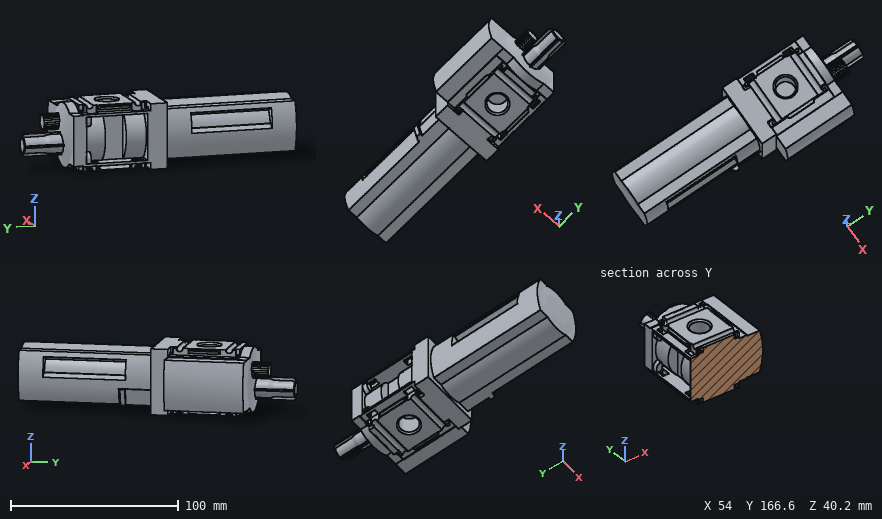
import cadquery as cq
import math

BODY_HALF_X = 21.0
BODY_HALF_Z = 20.1
SIDE_X = 33.0
CAP_Y = 27.2
FRAME_HALF_Y = 21.1
FLANGE_Y = -31.5
LEDGE_Z = 15.9
CAP_HALF_Z = 15.4
CAP_RADIUS = 19.8

PLATE_HALF_X = 15.3
BAR_HALF_X = 11.8
CORNER_FLOOR_Z = 16.9
GROOVE_OUTER_Y = 17.2
GROOVE_WIDTH = 4.1
PEG_INNER_X = 13.7
PEG_OUTER_Y = 19.1
PORT_RADIUS = 6.3
PORT_MOUTH_RADIUS = 7.4
PORT_DEPTH = 14.0
LIP_REACH = 2.1
LIP_TOP_Z = 19.7
LIP_BOTTOM_Z = 17.2
LIP_TIP_Z = 19.1
LIP_HALF_Y = 9.9
LIP_TIP_HALF_Y = 8.8

CAVITY_HALF_Y = 19.1
CAVITY_HALF_Z = 14.3
CAVITY_CORE_RADIUS = 18.6
CAVITY_FLAT_X = 11.6
CAVITY_FLAT_HALF_Y = 6.5
SLOT_INNER_X = 14.7
SLOT_OUTER_X = 18.9
SLOT_INNER_Y = 11.0
LUG_LENGTH = 3.2
LUG_RADIUS = 4.1
LUG_CENTRE_Z = 11.8
LUG_OUTER_X = 20.3

GUARD_HALF_X = 18.6
GUARD_CORNER_X = 15.5
GUARD_HALF_Z = 15.3
BOWL_RADIUS = 17.6
BOWL_END_Y = -113.1
TIP_Y = -113.6
TIP_BASE_RADIUS = 15.5
TIP_FLAT_RADIUS = 10.0
WINDOW_Y = (-97.8, -47.5)
WINDOW_TOP_Z = 12.0
WINDOW_TAPER = 2.3
WINDOW_FLOOR_RADIUS = 14.5
WINDOW_SILL_X = 15.5
LATCH_Y = (-51.5, -47.4)
LATCH_ROOT_X = 15.0
LATCH_Z = (-GUARD_HALF_Z, -5.3)
LATCH_X = (18.8, 21.3)
LATCH_BEVEL_X = 1.9
LATCH_BEVEL_Y = 1.2
STRIP_X = (17.0, 19.4)

SIDE_CORNER_X = 30.6

DOME_RADIUS = 19.1
DOME_HEIGHT = 2.0
KNOB_Z = -5.0
KNOB_END_Y = 53.0
KNOB_RIB_RADIUS = 6.9
KNOB_CORE_RADIUS = 5.0
KNOB_BASE_RADIUS = 5.8
KNOB_CONE_Y = (37.1, 39.8)
RIB_WIDTH = 1.0
RIB_CHAMFER = 1.3
KNOB_CORE_CHAMFER = 0.5
ADJUSTER_X = 7.1
ADJUSTER_Z = 7.0
ADJUSTER_RADIUS = 4.9
ADJUSTER_END_Y = 38.3
ADJUSTER_TEETH = 12
TOOTH_GROOVE_RADIUS = 0.6


def block(x_range, y_range, z_range):
    """Axis-aligned box given by its low and high limits on each axis."""
    limits = (x_range, y_range, z_range)
    size = [high - low for low, high in limits]
    corner = tuple(low for low, high in limits)
    return cq.Workplane("XY").box(*size, centered=False).translate(corner)


def section(y):
    """Sketch plane across the long axis at y, with local x, y = X, Z and normal -Y."""
    return cq.Workplane(cq.Plane(origin=(0, y, 0), xDir=(1, 0, 0), normal=(0, -1, 0)))


def along_y(profile, y_start, y_end):
    """Extrude an X-Z profile function between two Y positions."""
    return profile(section(y_end)).extrude(y_end - y_start)


def mirrored(shape, plane):
    """The shape together with its mirror image."""
    return shape.union(shape.mirror(plane))


def rod(radius, y_start, y_end, x=0.0, z=0.0):
    return along_y(lambda plane: plane.center(x, z).circle(radius), y_start, y_end)


def turned(points):
    """Solid of revolution about the Y axis from (radius, y) points."""
    return cq.Workplane("XY").polyline(points).close().revolve(360, (0, 0, 0), (0, 1, 0))


def guard_profile(plane):
    """Flat top and bottom with bulging left and right sides."""
    return (
        plane.moveTo(-GUARD_CORNER_X, GUARD_HALF_Z)
        .lineTo(GUARD_CORNER_X, GUARD_HALF_Z)
        .threePointArc((GUARD_HALF_X, 0), (GUARD_CORNER_X, -GUARD_HALF_Z))
        .lineTo(-GUARD_CORNER_X, -GUARD_HALF_Z)
        .threePointArc((-GUARD_HALF_X, 0), (-GUARD_CORNER_X, GUARD_HALF_Z))
        .close()
    )


def make_body():
    sides = (-BODY_HALF_X, BODY_HALF_X)
    heights = (-BODY_HALF_Z, BODY_HALF_Z)
    body = block(sides, (FLANGE_Y, FRAME_HALF_Y), heights)
    body = body.union(block(sides, (FRAME_HALF_Y, CAP_Y), (-CAP_HALF_Z, CAP_HALF_Z)))
    return body.union(rod(CAP_RADIUS, FRAME_HALF_Y, CAP_Y))


def make_plate_cuts():
    """Material removed around and inside the upper port plate."""
    above_ledge = (LEDGE_Z, BODY_HALF_Z)
    frame_y = (-FRAME_HALF_Y, FRAME_HALF_Y)
    ledge = block((PLATE_HALF_X, BODY_HALF_X), frame_y, above_ledge)
    cuts = mirrored(ledge, "YZ")

    groove_radius = GROOVE_WIDTH / 2
    groove = (
        cq.Workplane("YZ")
        .center(GROOVE_OUTER_Y - groove_radius, BODY_HALF_Z)
        .circle(groove_radius)
        .extrude(PLATE_HALF_X, both=True)
    )
    cuts = cuts.union(mirrored(groove, "XZ"))

    above_corner = (CORNER_FLOOR_Z, BODY_HALF_Z)
    corner = block((BAR_HALF_X, PLATE_HALF_X), (GROOVE_OUTER_Y, FRAME_HALF_Y), above_corner)
    peg = block((PEG_INNER_X, PLATE_HALF_X), (GROOVE_OUTER_Y, PEG_OUTER_Y), above_corner)
    cuts = cuts.union(mirrored(mirrored(corner.cut(peg), "YZ"), "XZ"))

    slot = block(
        (-SLOT_OUTER_X, -SLOT_INNER_X),
        (SLOT_INNER_Y, GROOVE_OUTER_Y),
        (CAVITY_HALF_Z, BODY_HALF_Z),
    )
    return cuts.union(mirrored(slot, "XZ"))


def make_lips():
    """Undercut lips with mitred ends on both sides of the upper port plate."""
    tip_x = PLATE_HALF_X + LIP_REACH
    outline = [
        (PLATE_HALF_X, -LIP_HALF_Y),
        (tip_x, -LIP_TIP_HALF_Y),
        (tip_x, LIP_TIP_HALF_Y),
        (PLATE_HALF_X, LIP_HALF_Y),
    ]
    height = LIP_TOP_Z - LIP_BOTTOM_Z
    plan = cq.Workplane("XY", origin=(0, 0, LIP_BOTTOM_Z)).polyline(outline).close().extrude(height)
    wedge_points = [
        (PLATE_HALF_X, LIP_TOP_Z),
        (tip_x, LIP_TOP_Z),
        (tip_x, LIP_TIP_Z),
        (PLATE_HALF_X, LIP_BOTTOM_Z),
    ]
    wedge = along_y(lambda plane: plane.polyline(wedge_points).close(), -LIP_HALF_Y, LIP_HALF_Y)
    return mirrored(plan.intersect(wedge), "YZ")


def make_port():
    """Blind port entering from the top, with a chamfered mouth."""
    mouth = PORT_MOUTH_RADIUS - PORT_RADIUS
    return (
        cq.Workplane("XZ")
        .moveTo(0, BODY_HALF_Z)
        .lineTo(PORT_MOUTH_RADIUS, BODY_HALF_Z)
        .lineTo(PORT_RADIUS, BODY_HALF_Z - mouth)
        .lineTo(PORT_RADIUS, BODY_HALF_Z - PORT_DEPTH)
        .lineTo(0, BODY_HALF_Z - PORT_DEPTH)
        .close()
        .revolve(360, (0, 0, 0), (0, 1, 0))
    )


def make_lug():
    """Small corner lug in the cavity, with one rounded edge."""
    inner_x = LUG_RADIUS - LUG_OUTER_X
    tip_z = LUG_CENTRE_Z - LUG_RADIUS
    diagonal = LUG_RADIUS * math.sqrt(0.5)

    def profile(plane):
        return (
            plane.moveTo(inner_x, CAVITY_HALF_Z)
            .lineTo(-LUG_OUTER_X, CAVITY_HALF_Z)
            .lineTo(-LUG_OUTER_X, LUG_CENTRE_Z)
            .threePointArc((inner_x - diagonal, LUG_CENTRE_Z - diagonal), (inner_x, tip_z))
            .close()
        )

    return along_y(profile, CAVITY_HALF_Y - LUG_LENGTH, CAVITY_HALF_Y)


def make_cavity():
    """Opening in the -X side: it bares the round core, interrupted by a flat."""
    heights = (-CAVITY_HALF_Z, CAVITY_HALF_Z)
    opening = block((-BODY_HALF_X, -CAVITY_FLAT_X), (-CAVITY_HALF_Y, CAVITY_HALF_Y), heights)
    core = rod(CAVITY_CORE_RADIUS, -CAVITY_HALF_Y, CAVITY_HALF_Y)
    flat_y = (-CAVITY_FLAT_HALF_Y, CAVITY_FLAT_HALF_Y)
    flat = block((-BODY_HALF_X, -CAVITY_FLAT_X), flat_y, heights)
    return opening.cut(core).union(flat).cut(mirrored(make_lug(), "XY"))


def make_window():
    """Sight window in the +X side of the guard, with tapered upper and lower walls."""
    inner_top_z = WINDOW_TOP_Z - WINDOW_TAPER
    inner_x = math.sqrt(WINDOW_FLOOR_RADIUS**2 - inner_top_z**2)
    points = [
        (inner_x, WINDOW_TAPER),
        (WINDOW_SILL_X, WINDOW_TAPER),
        (GUARD_HALF_X, 0),
        (BODY_HALF_X, 0),
        (BODY_HALF_X, WINDOW_TOP_Z),
        (GUARD_CORNER_X, WINDOW_TOP_Z),
        (inner_x, inner_top_z),
    ]
    opening = along_y(lambda plane: plane.polyline(points).close(), *WINDOW_Y)
    return opening.cut(rod(WINDOW_FLOOR_RADIUS, *WINDOW_Y))


def make_latch_prism(outer_x, y_range):
    """Prism on the lower +X side whose outer face leans from lower to upper X."""
    points = [
        (LATCH_ROOT_X, LATCH_Z[0]),
        (outer_x[0], LATCH_Z[0]),
        (outer_x[1], LATCH_Z[1]),
        (LATCH_ROOT_X, LATCH_Z[1]),
    ]
    return along_y(lambda plane: plane.polyline(points).close(), *y_range)


def make_latch():
    """Release button bevelled towards the bowl end, with its strip up to the body."""
    button = make_latch_prism(LATCH_X, LATCH_Y)
    button = button.faces("<Y").edges(">X").chamfer(LATCH_BEVEL_Y, LATCH_BEVEL_X)
    return button.union(make_latch_prism(STRIP_X, (LATCH_Y[1], FLANGE_Y)))


def make_bowl():
    bowl = along_y(guard_profile, BOWL_END_Y, FLANGE_Y)
    bowl = bowl.union(rod(BOWL_RADIUS, BOWL_END_Y, FLANGE_Y))
    tip = turned([(0, BOWL_END_Y), (TIP_BASE_RADIUS, BOWL_END_Y), (TIP_FLAT_RADIUS, TIP_Y), (0, TIP_Y)])
    return bowl.union(tip).cut(mirrored(make_window(), "YZ")).union(make_latch())


def make_side_module():
    def profile(plane):
        return (
            plane.moveTo(BODY_HALF_X, -GUARD_HALF_Z)
            .lineTo(SIDE_CORNER_X, -GUARD_HALF_Z)
            .threePointArc((SIDE_X, 0), (SIDE_CORNER_X, GUARD_HALF_Z))
            .lineTo(BODY_HALF_X, GUARD_HALF_Z)
            .close()
        )

    return along_y(profile, -FRAME_HALF_Y, CAP_Y)


def make_dome():
    sphere_radius = (DOME_RADIUS**2 + DOME_HEIGHT**2) / (2 * DOME_HEIGHT)
    mid_radius = DOME_RADIUS / 2
    centre_y = CAP_Y + DOME_HEIGHT - sphere_radius
    mid_y = centre_y + math.sqrt(sphere_radius**2 - mid_radius**2)
    return (
        cq.Workplane("XY")
        .moveTo(0, CAP_Y)
        .lineTo(DOME_RADIUS, CAP_Y)
        .threePointArc((mid_radius, mid_y), (0, CAP_Y + DOME_HEIGHT))
        .close()
        .revolve(360, (0, 0, 0), (0, 1, 0))
    )


def make_knob():
    """Stepped round stem with four lengthwise ribs."""
    cone_start, cone_end = KNOB_CONE_Y
    core = turned([
        (0, CAP_Y),
        (KNOB_BASE_RADIUS, CAP_Y),
        (KNOB_BASE_RADIUS, cone_start),
        (KNOB_CORE_RADIUS, cone_end),
        (KNOB_CORE_RADIUS, KNOB_END_Y - KNOB_CORE_CHAMFER),
        (KNOB_CORE_RADIUS - KNOB_CORE_CHAMFER, KNOB_END_Y),
        (0, KNOB_END_Y),
    ])
    envelope = rod(KNOB_RIB_RADIUS, CAP_Y, KNOB_END_Y).faces(">Y").chamfer(RIB_CHAMFER)
    span = (-KNOB_RIB_RADIUS, KNOB_RIB_RADIUS)
    width = (-RIB_WIDTH / 2, RIB_WIDTH / 2)
    length = (CAP_Y, KNOB_END_Y)
    ribs = block(span, length, width).union(block(width, length, span))
    return core.union(ribs.intersect(envelope)).translate((0, 0, KNOB_Z))


def make_adjuster():
    """Small screw head with lengthwise grooves round its rim."""
    head = rod(ADJUSTER_RADIUS, CAP_Y, ADJUSTER_END_Y)
    for tooth in range(ADJUSTER_TEETH):
        angle = 2 * math.pi * tooth / ADJUSTER_TEETH
        x = ADJUSTER_RADIUS * math.cos(angle)
        z = ADJUSTER_RADIUS * math.sin(angle)
        head = head.cut(rod(TOOTH_GROOVE_RADIUS, CAP_Y, ADJUSTER_END_Y, x, z))
    return head.translate((ADJUSTER_X, 0, ADJUSTER_Z))


result = (
    make_body()
    .cut(mirrored(make_plate_cuts(), "XY"))
    .union(mirrored(make_lips(), "XY"))
    .cut(make_port())
    .cut(make_port().mirror("XY"))
    .cut(make_cavity())
    .union(make_side_module())
    .union(make_bowl())
    .union(make_dome())
    .union(make_knob())
    .union(make_adjuster())
)